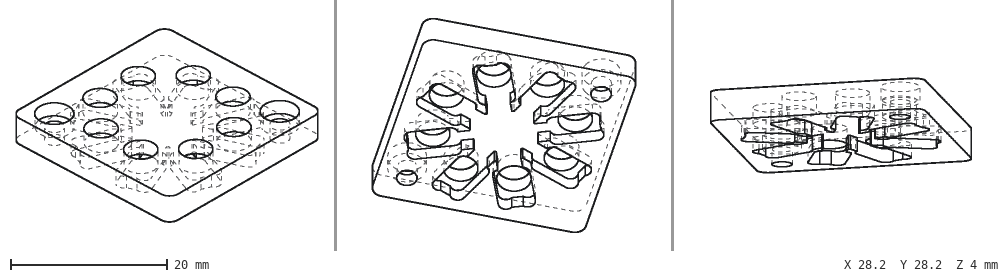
import cadquery as cq

side = 28.2
thickness = 4.0
corner_radius = 1.5

ring_hole_count = 8
ring_hole_diameter = 4.4
ring_radius = 9.2
ring_step_angle = 360 / ring_hole_count
ring_start_angle = ring_step_angle / 2

screw_offset = 10.2
screw_diameter = 2.6
screw_head_diameter = 5.0
screw_head_depth = 2.0

recess_depth = 1.8
pocket_width = 4.8
lobe_radius = 1.0
lobe_length = 7.0
middle_length = 6.5
slot_width = 3.2
hub_diameter = 9.0


def make_plate():
    plate = cq.Workplane("XY").box(side, side, thickness, centered=(True, True, False))
    return plate.edges("|Z").fillet(corner_radius)


def make_pocket_and_slot():
    """Recess for one ring hole, laid out along +X."""
    lobe_offset = pocket_width / 2 - lobe_radius
    lobes = (
        cq.Workplane("XY")
        .pushPoints([(ring_radius, -lobe_offset), (ring_radius, lobe_offset)])
        .slot2D(lobe_length, 2 * lobe_radius)
        .extrude(recess_depth)
    )
    middle = (
        cq.Workplane("XY")
        .center(ring_radius, 0)
        .rect(middle_length, 2 * lobe_offset)
        .extrude(recess_depth)
    )
    slot = (
        cq.Workplane("XY")
        .center(ring_radius / 2, 0)
        .rect(ring_radius, slot_width)
        .extrude(recess_depth)
    )
    return lobes.union(middle).union(slot)


def cut_underside_recess(body):
    body = body.cut(cq.Workplane("XY").circle(hub_diameter / 2).extrude(recess_depth))
    pocket_and_slot = make_pocket_and_slot()
    for index in range(ring_hole_count):
        angle = ring_start_angle + index * ring_step_angle
        body = body.cut(pocket_and_slot.rotate((0, 0, 0), (0, 0, 1), angle))
    return body


def cut_ring_holes(body):
    holes = (
        cq.Workplane("XY")
        .polarArray(ring_radius, ring_start_angle, 360, ring_hole_count)
        .circle(ring_hole_diameter / 2)
        .extrude(thickness)
    )
    return body.cut(holes)


def cut_screw_holes(body):
    centers = [(-screw_offset, -screw_offset), (screw_offset, screw_offset)]
    return (
        body.faces(">Z").workplane(origin=(0, 0, thickness))
        .pushPoints(centers)
        .cboreHole(screw_diameter, screw_head_diameter, screw_head_depth)
    )


result = cut_screw_holes(cut_ring_holes(cut_underside_recess(make_plate())))